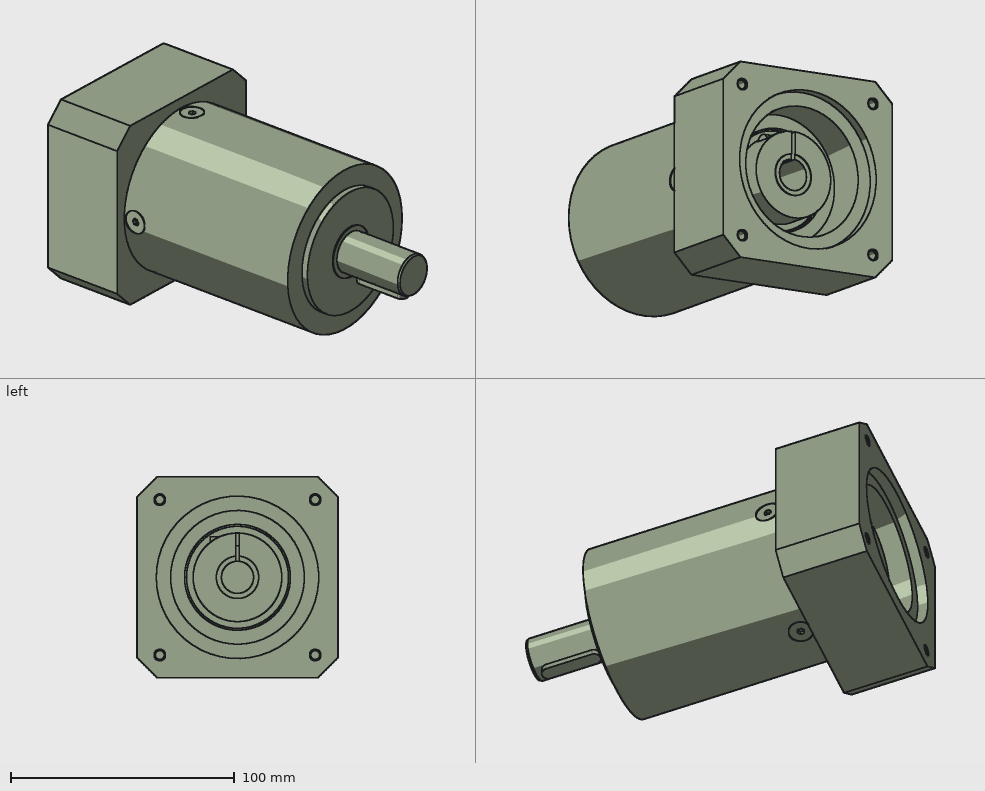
import cadquery as cq
total_length = 175.5
block_side = 90.0
block_length = 40.4
block_corner_chamfer = 9.1
body_diameter = 80.0
body_end = 135.5
pilot_diameter = 60.0
pilot_end = 138.6
shoulder_diameter = 25.0
shoulder_length = 0.5
shaft_diameter = 20.0
shaft_chamfer_length = 1.0
shaft_chamfer_depth = 0.5

key_start = 143.4
key_length = 28.0
key_width = 6.0
key_height = 2.6
key_embedment = shaft_diameter / 4

register_diameter = 72.7
register_depth = 5.0
cavity_diameter = 59.8
cavity_depth = 24.4
mount_hole_offset = 34.7
mount_hole_diameter = 4.0
mount_hole_mouth = 5.1
mount_hole_depth = 17.5

seat_diameter = 47.4
seat_bottom = 26.3
seat_chamfer = 0.9

hub_front = 12.0
hub_diameter = 39.7
bore_diameter = 14.4
bore_end = 38.6
bore_recess_diameter = 19.0
bore_recess_depth = 0.4

screw_x = 18.6
screw_height = 14.0
screw_head_diameter = 8.5
screw_head_end = 12.1
screw_head_length = 5.1

slot_width = 1.8
slot_depth = 8.8
slot_inner_depth = 12.3

plug_count = 4
plug_x = 46.5
plug_diameter = 11.0
plug_depth = 0.5
socket_corner_diameter = 3.3
socket_sides = 6
socket_depth = 1.8


def cylinder_x(start, end, diameter):
    """Cylinder on the gearbox axis from x = start to x = end."""
    return cq.Workplane("YZ", origin=(start, 0, 0)).circle(diameter / 2).extrude(end - start)


def flange_block():
    square = cq.Workplane("YZ").rect(block_side, block_side).extrude(block_length)
    return square.edges("|X").chamfer(block_corner_chamfer)


def shaft():
    bar = cylinder_x(pilot_end, total_length, shaft_diameter)
    return bar.faces(">X").chamfer(shaft_chamfer_length, shaft_chamfer_depth)


def key():
    """Round-ended key, sunk far enough into the shaft to join it along its full width."""
    centre_x = key_start + key_length / 2
    outer_face = -shaft_diameter / 2 - key_height
    base = cq.Workplane("XY", origin=(centre_x, 0, outer_face))
    return base.slot2D(key_length, key_width).extrude(key_height + key_embedment)


def mount_hole(y, z):
    """Blind hole with a 45 degree countersink at the motor face."""
    countersink = (mount_hole_mouth - mount_hole_diameter) / 2
    centre = cq.Workplane("YZ", origin=(0, y, z))
    drilled = centre.circle(mount_hole_diameter / 2).extrude(mount_hole_depth)
    mouth = centre.circle(mount_hole_mouth / 2).extrude(countersink * 2)
    return drilled.union(mouth.faces(">X").chamfer(countersink))


def hub_seat():
    """Pocket below the cavity floor whose bottom falls away in a chamfer at the rim."""
    pocket = cylinder_x(cavity_depth, seat_bottom + seat_chamfer, seat_diameter)
    bottom = cylinder_x(seat_bottom, seat_bottom + seat_chamfer * 2, seat_diameter)
    return pocket.cut(bottom.faces("<X").chamfer(seat_chamfer))


def slot_cut(depth, height):
    """Box from the axis up to the given height, running back from the hub face."""
    start = cq.Workplane("XY", origin=(hub_front, 0, 0))
    return start.box(depth, slot_width, height, centered=(False, True, False))


def clamp_hub():
    hub = cylinder_x(hub_front, seat_bottom, hub_diameter)
    hub = hub.cut(slot_cut(slot_depth, hub_diameter / 2))
    hub = hub.cut(slot_cut(slot_inner_depth, screw_height))
    screw_base = cq.Workplane("XZ", origin=(screw_x, screw_head_end, screw_height))
    return hub.union(screw_base.circle(screw_head_diameter / 2).extrude(screw_head_length))


def plug_seat():
    """Shallow flat seat on the +Z side with a hexagon socket in its middle."""
    floor = cq.Workplane("XY", origin=(plug_x, 0, body_diameter / 2 - plug_depth))
    seat = floor.circle(plug_diameter / 2).extrude(plug_depth * 2)
    socket = floor.polygon(socket_sides, socket_corner_diameter).extrude(-socket_depth)
    return seat.union(socket)


housing = (
    flange_block()
    .union(cylinder_x(block_length, body_end, body_diameter))
    .union(cylinder_x(body_end, pilot_end, pilot_diameter))
    .union(cylinder_x(pilot_end, pilot_end + shoulder_length, shoulder_diameter))
    .union(shaft())
    .union(key())
)

housing = (
    housing.cut(cylinder_x(0, register_depth, register_diameter))
    .cut(cylinder_x(0, cavity_depth, cavity_diameter))
    .cut(hub_seat())
)
for y in (-mount_hole_offset, mount_hole_offset):
    for z in (-mount_hole_offset, mount_hole_offset):
        housing = housing.cut(mount_hole(y, z))
for index in range(plug_count):
    angle = index * 360 / plug_count
    housing = housing.cut(plug_seat().rotate((0, 0, 0), (1, 0, 0), angle))

result = (
    housing.union(clamp_hub())
    .cut(cylinder_x(hub_front, bore_end, bore_diameter))
    .cut(cylinder_x(hub_front, hub_front + bore_recess_depth, bore_recess_diameter))
)